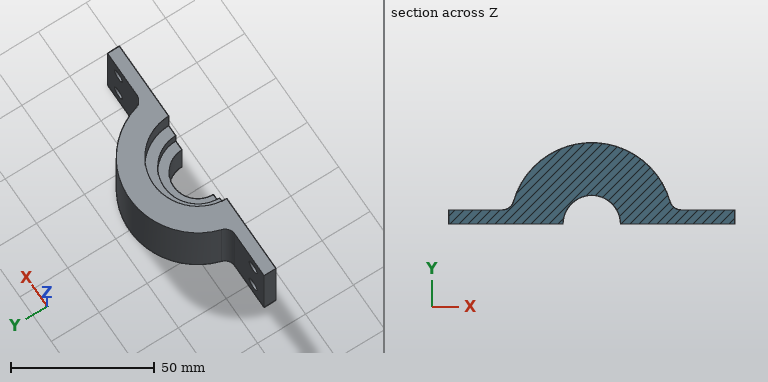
import cadquery as cq
import math

length = 100.0
height = 30.0
flange_thickness = 5.0

housing_radius = 28.5
blend_radius = 4.0

bore_steps = [(37.0, 9.0), (28.0, 14.0), (20.0, height)]

bolt_diameter = 5.0
bolt_spacing_x = 86.0
bolt_spacing_z = 16.0
bolt_centre_z = height / 2


def make_body():
    """Flange and half-round housing joined by tangent blend arcs."""
    half_length = length / 2

    blend_y = flange_thickness + blend_radius
    centre_distance = housing_radius + blend_radius
    blend_x = math.sqrt(centre_distance**2 - blend_y**2)
    tangent_x = blend_x * housing_radius / centre_distance
    tangent_y = blend_y * housing_radius / centre_distance

    housing_angle = math.atan2(blend_y, blend_x)
    middle_angle = (math.pi + housing_angle + 3 * math.pi / 2) / 2
    middle_x = blend_x + blend_radius * math.cos(middle_angle)
    middle_y = blend_y + blend_radius * math.sin(middle_angle)

    return (
        cq.Workplane("XY")
        .moveTo(-half_length, 0)
        .lineTo(half_length, 0)
        .lineTo(half_length, flange_thickness)
        .lineTo(blend_x, flange_thickness)
        .threePointArc((middle_x, middle_y), (tangent_x, tangent_y))
        .threePointArc((0, housing_radius), (-tangent_x, tangent_y))
        .threePointArc((-middle_x, middle_y), (-blend_x, flange_thickness))
        .lineTo(-half_length, flange_thickness)
        .close()
        .extrude(height)
    )


def cut_bore(body):
    """Cut each step of the bore down from the top face."""
    for diameter, depth in bore_steps:
        step = cq.Workplane("XY").workplane(offset=height - depth).circle(diameter / 2).extrude(depth)
        body = body.cut(step)
    return body


def cut_bolt_holes(body):
    """Cut the four bolt holes through the flanges along Y."""
    holes = (
        cq.Workplane("XZ")
        .center(0, bolt_centre_z)
        .rect(bolt_spacing_x, bolt_spacing_z, forConstruction=True)
        .vertices()
        .circle(bolt_diameter / 2)
        .extrude(-flange_thickness)
    )
    return body.cut(holes)


result = cut_bolt_holes(cut_bore(make_body()))